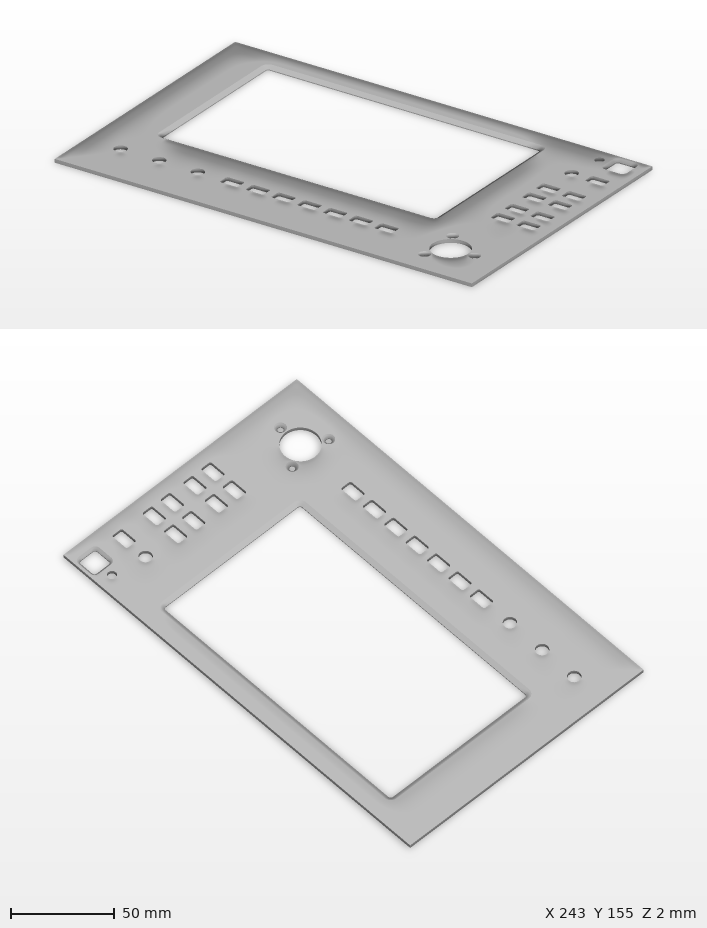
import cadquery as cq
import math

PANEL_LENGTH = 243.0
PANEL_HEIGHT = 155.0
THICKNESS = 2.0

LIP_HEIGHT = 0.5

WINDOW_CENTER = (-14.0, 18.7)
WINDOW_LENGTH = 159.2
WINDOW_HEIGHT = 90.8
WINDOW_CORNER_RADIUS = 1.5
WINDOW_WALL_ANGLE = 60.0

SLOT_LENGTH = 10.5
SLOT_HEIGHT = 6.5
SLOT_CORNER_RADIUS = 1.0
SLOT_PITCH = 15.0
ROUND_HOLE_DIAMETER = 7.0

BOTTOM_ROW_Y = -50.4
BOTTOM_HOLE_COUNT = 3
BOTTOM_HOLE_FIRST_X = -101.5
BOTTOM_HOLE_PITCH = 22.5
BOTTOM_SLOT_COUNT = 7
BOTTOM_SLOT_FIRST_X = -36.5

OUTER_COLUMN_X = 108.5
INNER_COLUMN_X = OUTER_COLUMN_X - SLOT_PITCH
KEY_PAIR_TOP_ROWS = (29.5, 2.5)
KEY_ROW_PITCH = 12.0
SINGLE_KEY_Y = 49.5

SQUARE_Y = 69.0
SQUARE_SIDE = 11.0
SQUARE_CORNER_RADIUS = 1.5
SQUARE_WALL_ANGLE = 45.0
SMALL_HOLE_DIAMETER = 5.0
SMALL_HOLE_X = 96.5

DIAL_CENTER = (91.5, -51.5)
DIAL_DIAMETER = 20.5
SCREW_COUNT = 3
SCREW_CIRCLE_RADIUS = 14.0
SCREW_DIAMETER = 3.0
COUNTERSINK_DIAMETER = 6.3
COUNTERSINK_ANGLE = 90.0


def rounded_rectangle(length, height, radius):
    return cq.Sketch().rect(length, height).vertices().fillet(radius)


def cut_sloped_opening(plate, center, length, height, radius, wall_angle):
    """Cut a rounded rectangle with a straight lip, widening from the lip to the front face."""
    wall_run = (THICKNESS - LIP_HEIGHT) * math.tan(math.radians(wall_angle))
    lip = rounded_rectangle(length, height, radius)
    rim = rounded_rectangle(length + 2 * wall_run, height + 2 * wall_run, radius + wall_run)
    lip_location = cq.Location(cq.Vector(0, 0, LIP_HEIGHT))
    rim_location = cq.Location(cq.Vector(0, 0, THICKNESS))
    straight_part = cq.Workplane("XY").placeSketch(lip).extrude(LIP_HEIGHT)
    sloped_part = cq.Workplane("XY").placeSketch(lip.moved(lip_location), rim.moved(rim_location)).loft()
    opening = straight_part.union(sloped_part)
    return plate.cut(opening.translate((*center, 0)))


def cut_round_holes(plate, centers, diameter):
    holes = cq.Workplane("XY").pushPoints(centers).circle(diameter / 2).extrude(THICKNESS)
    return plate.cut(holes)


def cut_slots(plate, centers):
    slot = rounded_rectangle(SLOT_LENGTH, SLOT_HEIGHT, SLOT_CORNER_RADIUS)
    slots = cq.Workplane("XY").pushPoints(centers).placeSketch(slot).extrude(THICKNESS)
    return plate.cut(slots)


def cut_bottom_row(plate):
    hole_centers = [
        (BOTTOM_HOLE_FIRST_X + i * BOTTOM_HOLE_PITCH, BOTTOM_ROW_Y)
        for i in range(BOTTOM_HOLE_COUNT)
    ]
    slot_centers = [
        (BOTTOM_SLOT_FIRST_X + i * SLOT_PITCH, BOTTOM_ROW_Y)
        for i in range(BOTTOM_SLOT_COUNT)
    ]
    plate = cut_round_holes(plate, hole_centers, ROUND_HOLE_DIAMETER)
    return cut_slots(plate, slot_centers)


def cut_key_pad(plate):
    slot_centers = [(OUTER_COLUMN_X, SINGLE_KEY_Y)]
    for top_row_y in KEY_PAIR_TOP_ROWS:
        for row_y in (top_row_y, top_row_y - KEY_ROW_PITCH):
            slot_centers.append((INNER_COLUMN_X, row_y))
            slot_centers.append((OUTER_COLUMN_X, row_y))
    plate = cut_slots(plate, slot_centers)
    return cut_round_holes(plate, [(INNER_COLUMN_X, SINGLE_KEY_Y)], ROUND_HOLE_DIAMETER)


def cut_dial_opening(plate):
    plate = cut_round_holes(plate, [DIAL_CENTER], DIAL_DIAMETER)
    return (
        plate.faces(">Z")
        .workplane(origin=(*DIAL_CENTER, THICKNESS))
        .polarArray(SCREW_CIRCLE_RADIUS, 0, 360, SCREW_COUNT)
        .cskHole(SCREW_DIAMETER, COUNTERSINK_DIAMETER, COUNTERSINK_ANGLE)
    )


panel = cq.Workplane("XY").box(PANEL_LENGTH, PANEL_HEIGHT, THICKNESS, centered=(True, True, False))
panel = cut_sloped_opening(
    panel, WINDOW_CENTER, WINDOW_LENGTH, WINDOW_HEIGHT, WINDOW_CORNER_RADIUS, WINDOW_WALL_ANGLE
)
panel = cut_sloped_opening(
    panel,
    (OUTER_COLUMN_X, SQUARE_Y),
    SQUARE_SIDE,
    SQUARE_SIDE,
    SQUARE_CORNER_RADIUS,
    SQUARE_WALL_ANGLE,
)
panel = cut_round_holes(panel, [(SMALL_HOLE_X, SQUARE_Y)], SMALL_HOLE_DIAMETER)
panel = cut_bottom_row(panel)
panel = cut_key_pad(panel)
panel = cut_dial_opening(panel)

result = panel